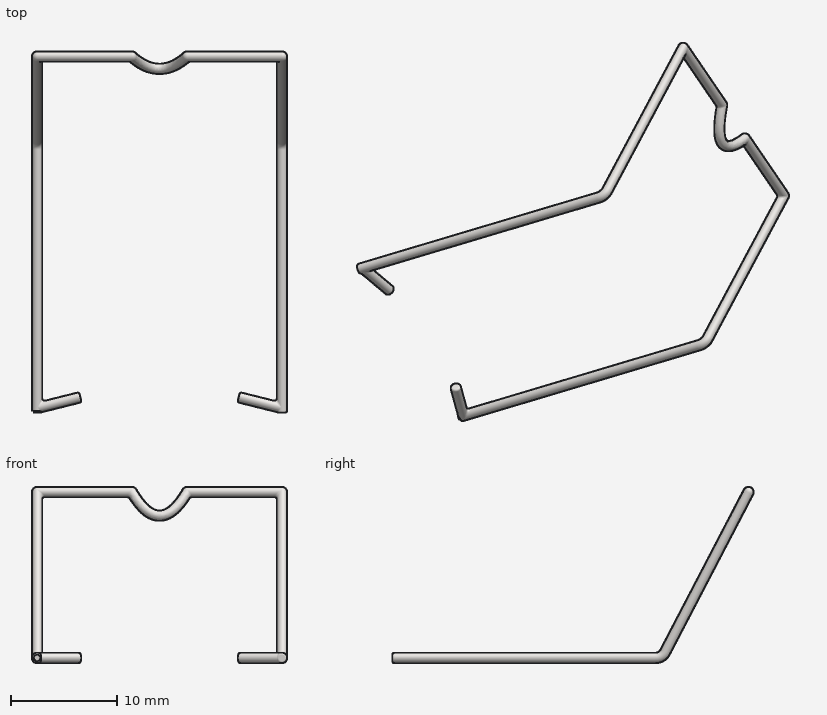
import cadquery as cq
import math

WIRE_RADIUS = 0.5
OVERALL_WIDTH = 24.0
OVERALL_DEPTH = 33.97
OVERALL_HEIGHT = 16.58
END_ROUND = 0.2
CROTCH_FILLET = 0.2

ARM_BEND_DISTANCE = 25.35
ARM_BEND_RADIUS = 1.0

HOOK_ANGLE = 14.0
HOOK_START = 0.45
HOOK_REACH = 4.2

NOTCH_HALF_WIDTH = 2.6
NOTCH_DEPTH = 2.5

side_x = OVERALL_WIDTH / 2 - WIRE_RADIUS
top_y = OVERALL_DEPTH - WIRE_RADIUS
top_z = OVERALL_HEIGHT - 2 * WIRE_RADIUS
leg_angle = math.atan2(top_z, top_y - ARM_BEND_DISTANCE)
leg_direction = cq.Vector(0, math.cos(leg_angle), math.sin(leg_angle))
hook_root = cq.Vector(-side_x, HOOK_START, 0)
bar_corner = cq.Vector(-side_x, top_y, top_z)
notch_edge = cq.Vector(-NOTCH_HALF_WIDTH, top_y, top_z)


def joint(point):
    """Ball that rounds the outside of a sharp turn of the wire."""
    return cq.Workplane(cq.Plane(origin=point)).sphere(WIRE_RADIUS)


def fillet_crotch(body, turn):
    """Round the seams between the two pieces of wire that meet at the given turn."""
    seams = []
    for edge in body.edges().vals():
        is_curved_seam = edge.geomType() not in ("LINE", "CIRCLE")
        is_at_turn = (edge.Center() - turn).Length < 2 * WIRE_RADIUS
        if is_curved_seam and is_at_turn:
            seams.append(edge)
    return body.newObject([body.val().fillet(CROTCH_FILLET, seams)])


def arm_and_leg():
    """Lower arm, its bend and the inclined leg of the left side."""
    half = leg_angle / 2
    setback = ARM_BEND_RADIUS * math.tan(half)
    bend_start_y = ARM_BEND_DISTANCE - setback
    bend_middle = (
        bend_start_y + ARM_BEND_RADIUS * math.sin(half),
        ARM_BEND_RADIUS * (1 - math.cos(half)),
    )
    bend_end = (ARM_BEND_DISTANCE + setback * math.cos(leg_angle), setback * math.sin(leg_angle))
    path = (
        cq.Workplane("YZ", origin=(-side_x, 0, 0))
        .lineTo(bend_start_y, 0)
        .threePointArc(bend_middle, bend_end)
        .lineTo(top_y, top_z)
    )
    wire = cq.Workplane("XZ", origin=(-side_x, 0, 0)).circle(WIRE_RADIUS).sweep(path)
    return wire.faces("<Y").edges().fillet(END_ROUND)


def hook():
    """Short inward hook at the front end of the left arm."""
    angle = math.radians(HOOK_ANGLE)
    direction = cq.Vector(math.cos(angle), math.sin(angle), 0)
    plane = cq.Plane(origin=hook_root, normal=direction)
    straight = cq.Workplane(plane).circle(WIRE_RADIUS).extrude(HOOK_REACH)
    return straight.edges("%CIRCLE").fillet(END_ROUND)


def top_bar():
    """Left half of the straight bar across the tops of the legs."""
    length = side_x - NOTCH_HALF_WIDTH
    straight = cq.Workplane("YZ", origin=bar_corner).circle(WIRE_RADIUS).extrude(length)
    return straight.union(joint(bar_corner)).union(joint(notch_edge))


def notch():
    """Parabolic dip in the middle of the top bar, lying in the plane of the legs."""
    across = cq.Vector(1, 0, 0)
    leg_plane = cq.Plane(origin=(0, top_y, top_z), xDir=across, normal=across.cross(leg_direction))
    vertex_depth = 2 * NOTCH_DEPTH
    path = cq.Workplane(leg_plane).bezier(
        [(-NOTCH_HALF_WIDTH, 0), (0, -vertex_depth), (NOTCH_HALF_WIDTH, 0)]
    )
    curve = path.val()
    profile_plane = cq.Plane(origin=curve.positionAt(0), normal=curve.tangentAt(0))
    return cq.Workplane(profile_plane).circle(WIRE_RADIUS).sweep(path)


left_side = fillet_crotch(arm_and_leg().union(hook()), hook_root)
left_side = fillet_crotch(left_side.union(top_bar()), bar_corner)

result = left_side.union(left_side.mirror("YZ")).union(notch())
for side in (-1, 1):
    result = fillet_crotch(result, cq.Vector(side * NOTCH_HALF_WIDTH, top_y, top_z))